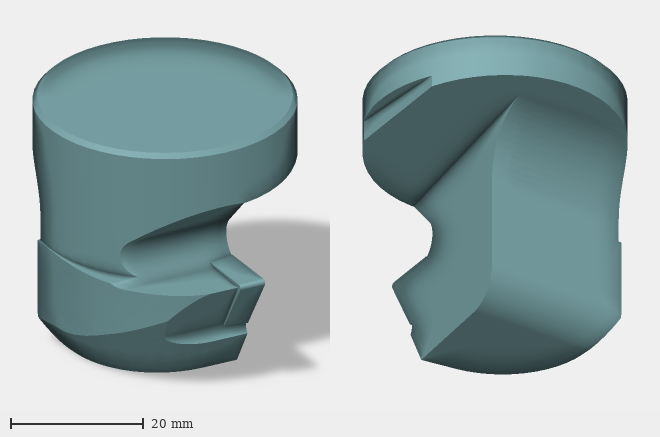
import cadquery as cq
import math

TOTAL_HEIGHT = 37.7
DISC_DIAMETER = 40.0
DISC_RADIUS = DISC_DIAMETER / 2
TOP_CHAMFER = 0.7
REACH = 93.75

RIM_BOTTOM = 30.75
UNDERSIDE_ANGLE = 4.6
STEM_LEFT = -4.95
STEM_FILLET = 9.85
BASE_FILLET = 5.62
STEP_Y = 17.95
STEP_Z = 31.7

CUT_ANGLE = 7.5
REAR_WALL_Y = 3.4

FLANGE_TOP = 16.83
FLANGE_CORNER_Y = -19.9
FLANGE_CURVE = [
    (0.0, -20.35),
    (6.1, -20.45),
    (12.95, -19.1),
    (15.45, -17.95),
    (21.9, -12.9),
    (23.75, -9.85),
    (24.45, -7.4),
]
RELIEF_ANGLE = 30.0
FOOT_RADIUS = 14.75
FOOT_CENTER = (2.15, -2.9)

NOTCH_RADIUS = 3.65
NOTCH_CENTER = (17.8, 20.0)
NOTCH_RAMP_ANGLE = 45.5
FLOOR_ANGLE = 2.0

INSERT_TIP = (27.55, 17.7)
INSERT_TOP_END = (16.15, 17.05)
INSERT_LOW_END = (21.35, 7.87)
INSERT_THICKNESS = 3.9
INSERT_TAPER = 5.0
INSERT_NOSE = 0.5
GROOVE_RADIUS = 4.4 / 2
GROOVE_CENTER = (22.85, 7.45)

angle = math.radians(CUT_ANGLE)
along = (math.cos(angle), -math.sin(angle))
cut_plane = cq.Plane(
    origin=(0, REAR_WALL_Y, 0),
    xDir=(along[0], along[1], 0),
    normal=(along[1], -along[0], 0),
)


def underside_height(x):
    return RIM_BOTTOM - math.tan(math.radians(UNDERSIDE_ANGLE)) * (x + DISC_RADIUS)


def make_disc():
    """Full round column from the flange top up to the chamfered face."""
    return (
        cq.Workplane("XY")
        .workplane(offset=FLANGE_TOP)
        .circle(DISC_RADIUS)
        .extrude(TOTAL_HEIGHT - FLANGE_TOP)
        .faces(">Z")
        .chamfer(TOP_CHAMFER)
    )


def make_flange():
    """Curved flange limited below by a foot that widens upward."""
    curve_end = FLANGE_CURVE[-1]
    outline = (
        cq.Workplane("XY")
        .moveTo(STEM_LEFT, FLANGE_CORNER_Y)
        .spline(FLANGE_CURVE, includeCurrent=True)
        .lineTo(curve_end[0] + math.tan(angle) * (REACH - curve_end[1]), REACH)
        .lineTo(STEM_LEFT, REACH)
        .close()
        .extrude(FLANGE_TOP)
    )
    foot_end = tuple(c + FOOT_RADIUS * a for c, a in zip(FOOT_CENTER, along))
    half_turn = (-math.pi / 2 - angle) / 2
    foot_middle = (
        FOOT_CENTER[0] + FOOT_RADIUS * math.cos(half_turn),
        FOOT_CENTER[1] + FOOT_RADIUS * math.sin(half_turn),
    )
    foot_front = FOOT_CENTER[1] - FOOT_RADIUS
    foot = (
        cq.Workplane("XY")
        .moveTo(-REACH, foot_front)
        .lineTo(FOOT_CENTER[0], foot_front)
        .threePointArc(foot_middle, foot_end)
        .lineTo(foot_end[0] + math.tan(angle) * (REACH - foot_end[1]), REACH)
        .lineTo(-REACH, REACH)
        .close()
        .extrude(FLANGE_TOP, taper=-RELIEF_ANGLE)
    )
    return outline.intersect(foot)


def make_left_cut():
    """Space left of the stem, with the upper and lower blends."""
    tilt = math.radians(UNDERSIDE_ANGLE)
    center_x = STEM_LEFT - STEM_FILLET
    center_z = underside_height(center_x) - STEM_FILLET / math.cos(tilt)

    def on_fillet(direction):
        return (center_x + STEM_FILLET * math.cos(direction),
                center_z + STEM_FILLET * math.sin(direction))

    blend_start = math.pi / 2 - tilt
    base_middle = BASE_FILLET * (1 - math.sqrt(0.5))
    return (
        cq.Workplane("XZ")
        .moveTo(-REACH, underside_height(-REACH))
        .lineTo(*on_fillet(blend_start))
        .threePointArc(on_fillet(blend_start / 2), (STEM_LEFT, center_z))
        .lineTo(STEM_LEFT, BASE_FILLET)
        .threePointArc((STEM_LEFT + base_middle, base_middle), (STEM_LEFT + BASE_FILLET, 0))
        .lineTo(STEM_LEFT + BASE_FILLET, -REACH)
        .lineTo(-REACH, -REACH)
        .close()
        .extrude(REACH, both=True)
    )


def make_rear_cut():
    """Space behind the rear wall and below the sloping underside."""
    below_underside = (
        cq.Workplane("XZ")
        .polyline([
            (-REACH, underside_height(-REACH)),
            (REACH, underside_height(REACH)),
            (REACH, -REACH),
            (-REACH, -REACH),
        ])
        .close()
        .extrude(REACH, both=True)
    )
    behind_wall = cq.Workplane(cut_plane).rect(2 * REACH, 2 * REACH).extrude(-REACH)
    return below_underside.intersect(behind_wall)


def make_rim_step():
    return cq.Workplane("XY").box(
        2 * REACH, REACH, STEP_Z, centered=(True, False, False)
    ).translate((0, STEP_Y, 0))


def make_notch():
    """Rounded chip notch between a rising ramp and a nearly level floor."""
    ramp = math.radians(NOTCH_RAMP_ANGLE)
    floor = math.radians(FLOOR_ANGLE)
    u, z = NOTCH_CENTER
    ramp_start = (u - NOTCH_RADIUS * math.sin(ramp), z + NOTCH_RADIUS * math.cos(ramp))
    floor_start = (u + NOTCH_RADIUS * math.sin(floor), z - NOTCH_RADIUS * math.cos(floor))
    return (
        cq.Workplane(cut_plane)
        .moveTo(*floor_start)
        .threePointArc((u - NOTCH_RADIUS, z), ramp_start)
        .lineTo(REACH, ramp_start[1] + math.tan(ramp) * (REACH - ramp_start[0]))
        .lineTo(REACH, floor_start[1] + math.tan(floor) * (REACH - floor_start[0]))
        .close()
        .extrude(REACH, both=True)
    )


def make_end_relief():
    """Groove under the insert and the set-back flange end tangent to it."""
    groove = (
        cq.Workplane(cut_plane)
        .center(*GROOVE_CENTER)
        .circle(GROOVE_RADIUS)
        .extrude(REACH, both=True)
    )
    relief = math.radians(RELIEF_ANGLE)
    tangent_u = GROOVE_CENTER[0] - GROOVE_RADIUS * math.cos(relief)
    tangent_z = GROOVE_CENTER[1] + GROOVE_RADIUS * math.sin(relief)
    top_z = INSERT_TIP[1]
    top_u = tangent_u + math.tan(relief) * (top_z - tangent_z)
    setback = (
        cq.Workplane(cut_plane)
        .polyline([
            (tangent_u, tangent_z),
            (top_u, top_z),
            (REACH, top_z),
            (REACH, tangent_z),
        ])
        .close()
        .extrude(REACH, both=True)
    )
    return groove.union(setback)


def make_insert():
    """Parallelogram cutting insert, tapering from its rear face."""
    hidden_corner = tuple(
        a + b - c for a, b, c in zip(INSERT_TOP_END, INSERT_LOW_END, INSERT_TIP)
    )
    blank = (
        cq.Workplane(cut_plane)
        .polyline([INSERT_TOP_END, INSERT_TIP, INSERT_LOW_END, hidden_corner])
        .close()
        .extrude(INSERT_THICKNESS, taper=INSERT_TAPER)
    )
    nose_edge = cq.selectors.NearestToPointSelector(
        cut_plane.toWorldCoords((*INSERT_TIP, INSERT_THICKNESS / 2)).toTuple()
    )
    return blank.edges(nose_edge).fillet(INSERT_NOSE)


insert = make_insert()
holder = (
    make_disc()
    .union(make_flange())
    .cut(make_left_cut())
    .cut(make_rear_cut())
    .cut(make_rim_step())
    .cut(make_notch())
    .cut(make_end_relief())
    .cut(insert)
)

result = cq.Compound.makeCompound([*holder.solids().vals(), insert.val()])